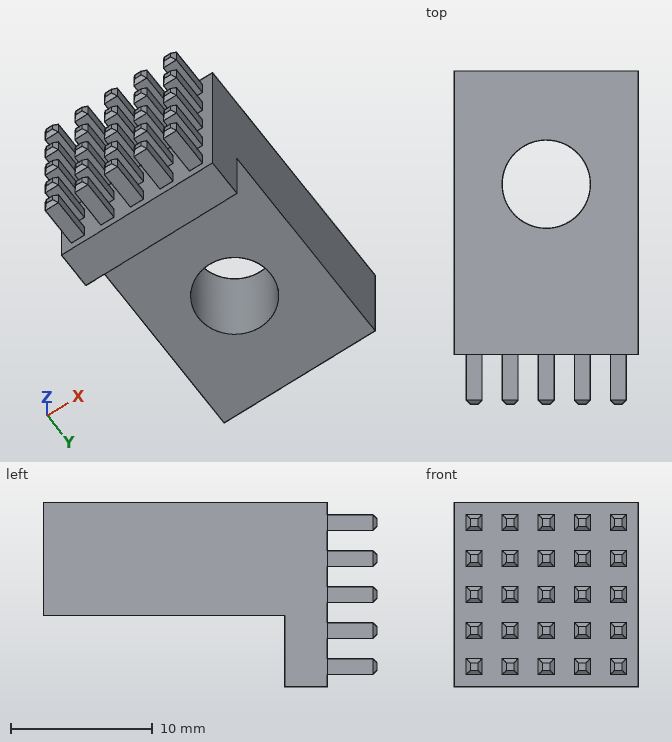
import cadquery as cq

total_length = 23.5
body_width = 13.0
body_height = 13.0

body_length = 20.0
block_height = 8.0
flange_thickness = 3.0

hole_diameter = 6.2
hole_from_back = 8.0

pins_per_side = 5
pin_pitch = 2.54
pin_width = 1.13
tip_width = 0.55

pin_length = total_length - body_length
back_y = body_length
tip_chamfer = (pin_width - tip_width) / 2
flange_height = body_height - block_height


def make_body():
    """L-shaped block with its pin face on Y = 0 and its underside on Z = 0."""
    profile = [
        (0, 0),
        (flange_thickness, 0),
        (flange_thickness, flange_height),
        (back_y, flange_height),
        (back_y, body_height),
        (0, body_height),
    ]
    return (
        cq.Workplane("YZ")
        .polyline(profile)
        .close()
        .extrude(body_width / 2, both=True)
    )


def make_hole():
    """Cylinder that cuts through the thick block along Z."""
    return (
        cq.Workplane("XY")
        .center(0, back_y - hole_from_back)
        .circle(hole_diameter / 2)
        .extrude(body_height)
    )


def make_pins():
    """Grid of square pins pointing toward -Y, chamfered at their tips."""
    return (
        cq.Workplane("XZ", origin=(0, 0, body_height / 2))
        .rarray(pin_pitch, pin_pitch, pins_per_side, pins_per_side)
        .rect(pin_width, pin_width)
        .extrude(pin_length)
        .faces("<Y")
        .chamfer(tip_chamfer)
    )


result = make_body().cut(make_hole()).union(make_pins())